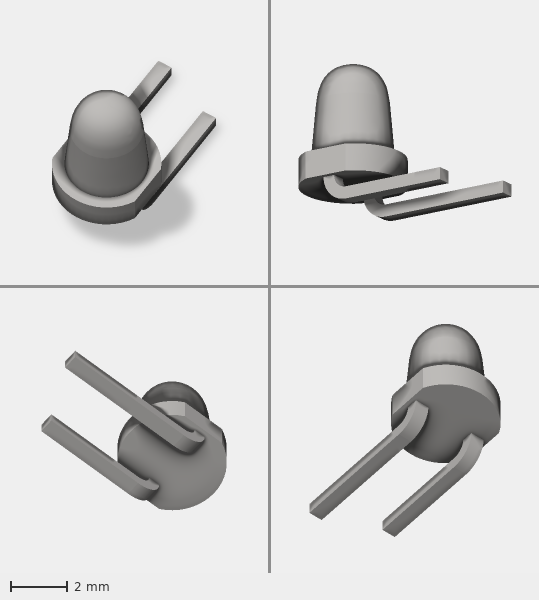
import cadquery as cq
import math

overall_length = 7.69
flange_diameter = 3.89
flange_width = 3.5
flange_height = 1.01

lens_base_radius = 1.5
lens_neck_radius = 1.315
taper_height = 2.09
dome_height = 1.4

lead_width = 0.56
lead_thickness = 0.45
lead_spacing = 2.54
bend_outer_radius = 0.97
bend_inner_radius = bend_outer_radius - lead_thickness
long_lead_end = overall_length - flange_diameter / 2
lead_length_difference = 1.0
short_lead_end = long_lead_end - lead_length_difference


def make_flange():
    disc = cq.Workplane("XY").circle(flange_diameter / 2).extrude(flange_height)
    flats = cq.Workplane("XY").rect(flange_width, flange_diameter).extrude(flange_height)
    return disc.intersect(flats)


def make_lens():
    """Revolve the taper and the dome; the dome is tangent to the taper and flat at its tip."""
    neck_z = flange_height + taper_height
    tip_z = neck_z + dome_height
    taper_direction = (lens_neck_radius - lens_base_radius, taper_height)
    return (
        cq.Workplane("XZ")
        .moveTo(0, flange_height)
        .lineTo(lens_base_radius, flange_height)
        .lineTo(lens_neck_radius, neck_z)
        .spline([(0, tip_z)], tangents=[taper_direction, (-1, 0)], includeCurrent=True)
        .close()
        .revolve(360, (0, 0), (0, 1))
    )


def make_lead(center_x, end_y):
    """Bent bar: a quarter-round bend followed by a straight run to end_y."""
    bend_center_y = bend_outer_radius - lead_thickness / 2
    diagonal = math.sqrt(0.5)
    outer_mid = bend_outer_radius * diagonal
    inner_mid = bend_inner_radius * diagonal
    return (
        cq.Workplane("YZ", origin=(center_x - lead_width / 2, 0, 0))
        .moveTo(-lead_thickness / 2, 0)
        .threePointArc((bend_center_y - outer_mid, -outer_mid), (bend_center_y, -bend_outer_radius))
        .lineTo(end_y, -bend_outer_radius)
        .lineTo(end_y, -bend_inner_radius)
        .lineTo(bend_center_y, -bend_inner_radius)
        .threePointArc((bend_center_y - inner_mid, -inner_mid), (lead_thickness / 2, 0))
        .close()
        .extrude(lead_width)
    )


long_lead = make_lead(-lead_spacing / 2, long_lead_end)
short_lead = make_lead(lead_spacing / 2, short_lead_end)
result = make_flange().union(make_lens()).union(long_lead).union(short_lead)